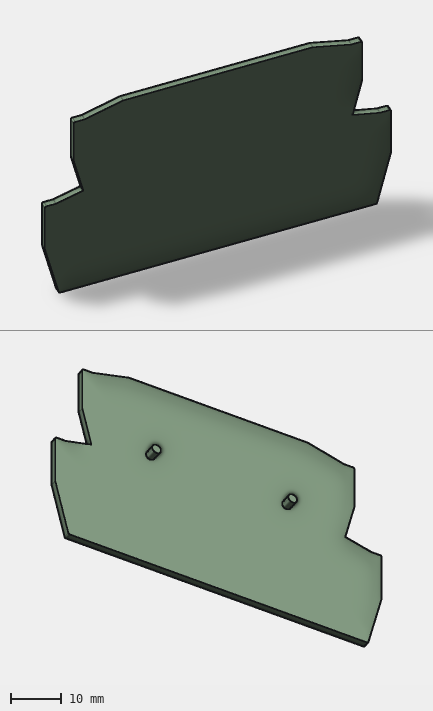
import cadquery as cq

plate_thickness = 1.5
plate_length = 74.4
plate_height = 45.1
half_length = plate_length / 2

base_half_length = 34.2
lower_wall_bottom = 12.3
lower_ledge_height = 23.3
lower_ledge_inner = 34.8

notch_half_length = 28.95
notch_height = 24.7

upper_half_length = 31.05
upper_wall_bottom = 33.1
upper_ledge_height = 43.0
upper_ledge_inner = 28.65
top_half_length = 20.4

corner_radius = 0.4

pin_diameter = 2.0
pin_length = 2.45
pin_spacing = 31.05
pin_height = 27.3


def make_plate():
    """Stepped, symmetric plate with small rounds on its outer corners."""
    right_side = [
        (base_half_length, 0),
        (half_length, lower_wall_bottom),
        (half_length, lower_ledge_height),
        (lower_ledge_inner, lower_ledge_height),
        (notch_half_length, notch_height),
        (upper_half_length, upper_wall_bottom),
        (upper_half_length, upper_ledge_height),
        (upper_ledge_inner, upper_ledge_height),
        (top_half_length, plate_height),
    ]
    left_side = [(-y, z) for y, z in reversed(right_side)]
    plate = cq.Workplane("YZ").polyline(right_side + left_side).close().extrude(plate_thickness)

    rounded_corners = [
        (base_half_length, 0),
        (half_length, lower_ledge_height),
        (upper_half_length, upper_ledge_height),
    ]
    for y, z in rounded_corners:
        for side in (-1, 1):
            corner = cq.selectors.NearestToPointSelector((plate_thickness / 2, side * y, z))
            plate = plate.edges("|X").edges(corner).fillet(corner_radius)
    return plate


def make_pins():
    """Pair of round pins pointing towards -X."""
    pin_centers = [(-pin_spacing / 2, pin_height), (pin_spacing / 2, pin_height)]
    return cq.Workplane("YZ").pushPoints(pin_centers).circle(pin_diameter / 2).extrude(-pin_length)


result = make_plate().union(make_pins())